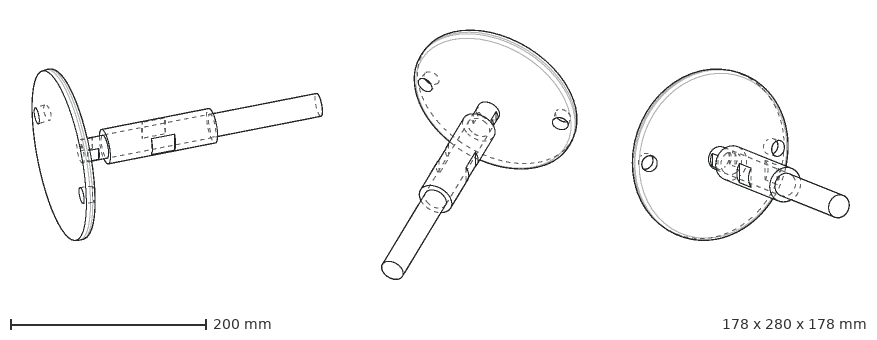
import cadquery as cq
import math

TOTAL_LENGTH = 280.0

PLATE_DIAMETER = 178.0
BASE_DIAMETER = 177.0
TAPER_HEIGHT = 4.2
CONE_EDGE_Y = 9.8
CONE_TOP_Y = 23.0
RIM_ROUNDING = 3.5

BOLT_HOLE_DIAMETER = 16.5
BOLT_HOLE_OFFSET = 72.8

STEM_DIAMETER = 24.0
NECK_FLAT_WIDTH = 20.0
NECK_FLAT_LENGTH = 12.0
NECK_FLAT_Y = 33.3

SLEEVE_DIAMETER = 36.0
SLEEVE_START_Y = 49.3
SLEEVE_LENGTH = 115.5
SLEEVE_FLAT_WIDTH = 30.0
SLEEVE_FLAT_LENGTH = 25.0

plate_radius = PLATE_DIAMETER / 2
stem_radius = STEM_DIAMETER / 2
cone_angle = math.atan2(CONE_TOP_Y - CONE_EDGE_Y, plate_radius - stem_radius)


def cylinder(diameter, start_y, end_y):
    """Cylinder on the Y axis between two heights."""
    return (
        cq.Workplane("XZ", origin=(0, start_y, 0))
        .circle(diameter / 2)
        .extrude(start_y - end_y)
    )


def cut_wrench_flats(body, diameter, across_flats, length, middle_y):
    """Cut two opposite flats, facing -X and +X."""
    depth = (diameter - across_flats) / 2
    for side in (-1, 1):
        cutter = cq.Workplane("XY").box(2 * depth, length, diameter)
        body = body.cut(cutter.translate((side * (across_flats / 2 + depth), middle_y, 0)))
    return body


def make_plate():
    """Conical plate with a rounded upper rim, a tapered lower rim and two bolt holes."""
    plate = (
        cq.Workplane("XY")
        .lineTo(BASE_DIAMETER / 2, 0)
        .lineTo(plate_radius, TAPER_HEIGHT)
        .lineTo(plate_radius, CONE_EDGE_Y)
        .lineTo(stem_radius, CONE_TOP_Y)
        .lineTo(0, CONE_TOP_Y)
        .close()
        .revolve(360, (0, 0, 0), (0, 1, 0))
    )
    rim_edge = cq.selectors.NearestToPointSelector((0, CONE_EDGE_Y, 0))
    upper_rim = plate.edges("%CIRCLE").edges(rim_edge)
    plate = upper_rim.fillet(RIM_ROUNDING)

    for side in (-1, 1):
        direction = cq.Vector(side * math.sin(cone_angle), math.cos(cone_angle), 0)
        entry = cq.Vector(side * BOLT_HOLE_OFFSET, 0, 0)
        drill = cq.Solid.makeCylinder(
            BOLT_HOLE_DIAMETER / 2,
            2 * CONE_TOP_Y,
            entry - direction * CONE_TOP_Y,
            direction,
        )
        plate = plate.cut(cq.Workplane(drill))
    return plate


def make_foot():
    """Plate and stem in one piece."""
    stem = cylinder(STEM_DIAMETER, CONE_TOP_Y, TOTAL_LENGTH)
    stem = cut_wrench_flats(stem, STEM_DIAMETER, NECK_FLAT_WIDTH, NECK_FLAT_LENGTH, NECK_FLAT_Y)
    return make_plate().union(stem)


def make_sleeve():
    """Sleeve bored to fit the stem."""
    end_y = SLEEVE_START_Y + SLEEVE_LENGTH
    middle_y = SLEEVE_START_Y + SLEEVE_LENGTH / 2
    sleeve = cylinder(SLEEVE_DIAMETER, SLEEVE_START_Y, end_y)
    sleeve = sleeve.cut(cylinder(STEM_DIAMETER, SLEEVE_START_Y, end_y))
    return cut_wrench_flats(sleeve, SLEEVE_DIAMETER, SLEEVE_FLAT_WIDTH, SLEEVE_FLAT_LENGTH, middle_y)


foot = make_foot()
sleeve = make_sleeve()

result = cq.Compound.makeCompound([foot.val(), sleeve.val()])